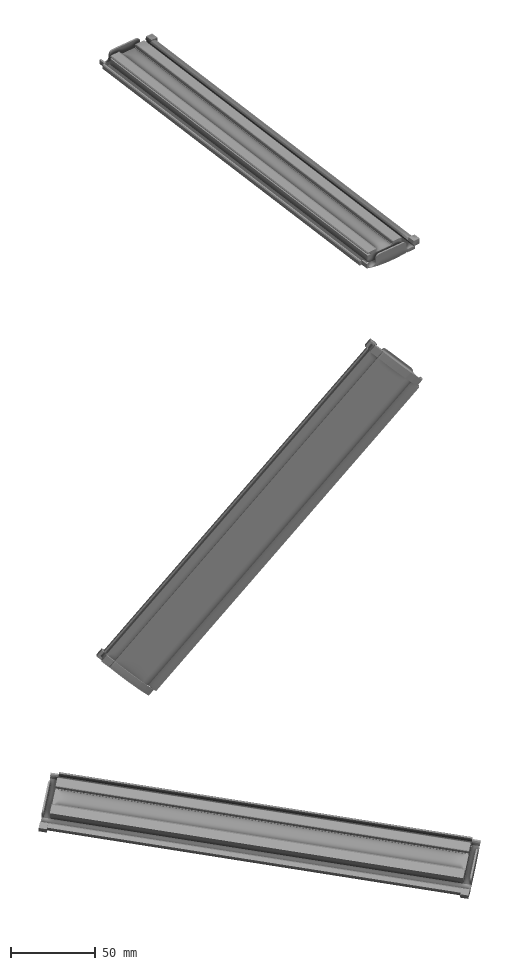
import cadquery as cq


TOTAL_LENGTH = 260.0
CAP_LENGTH = 5.0
PLATE_THICKNESS = 1.0
PROFILE_LENGTH = TOTAL_LENGTH - 2 * CAP_LENGTH

BODY_HALF_WIDTH = 12.7
BODY_TOP = 9.0
BODY_BOTTOM = 1.0
BOTTOM_CORNER_Y = -8.8
BOTTOM_CORNER_BULGE = 0.3

RIDGE_TOP = 9.4
RIDGE_OUTER_Y = 6.8
RIDGE_PEAK_Y = 6.2
CHANNEL_HALF_WIDTH = 6.0
LEDGE_Z = 7.0
STRIP_WIDTH = 5.5
STRIP_THICKNESS = 0.8
STRIP_TOP = 6.8
CHANNEL_FLOOR = STRIP_TOP - STRIP_THICKNESS

LIP_CHAMFER = 0.5
LIP_BOTTOM = 8.0
SLOT_BOTTOM = 7.0
SLOT_BACK_Y = -10.5
FOOT_HEIGHT = 1.3
FOOT_WIDTH = 0.3

SHELF_TOP = 2.9
SHELF_BOTTOM = 2.3
ARM_TIP_Y = 21.0
ARM_TOP = 6.0
ARM_BOTTOM = 5.0
ARM_LIP_WIDTH = 0.8
POST_OUTER_Y = 19.0
POST_INNER_Y = 18.2
ARM_BARB_TIP_Z = 5.2
ARM_BARB_REACH = 1.0
BARB_ROOT_Z = 3.6
CATCH_TIP_Y = -18.7
CATCH_TOP = 5.5
CATCH_WIDTH = 1.3
CATCH_SLOPE = 0.5
CATCH_BEVEL = 0.5

CAP_ARM_TIP_Y = 22.5
CAP_ARM_TOP = 6.8
CAP_ARM_BOTTOM = 5.2
CAP_LIP_INNER_Y = 21.0
CAP_POST_OUTER_Y = 19.8
CAP_SHELF_TIP_Y = 19.0
CAP_SHELF_BOTTOM = 0.5
CAP_CATCH_TIP_Y = -17.2
CAP_CATCH_INNER_Y = -16.0
CAP_BARB_TIP_Z = 4.7
CAP_BARB_REACH = 0.8

BOWL_LEFT_Y = 12.0
BOWL_RIGHT_Y = -8.3
BOWL_RISE = 0.5
NOTCH_Z = 1.0
FLANGE_BOTTOM = 1.3
FLOOR_STEP_Y = 12.2
FLOOR_LEFT_Y = 8.8
FLOOR_LEFT_Z = 1.5
FLOOR_RIGHT_Y = -15.0
FLOOR_Z = 1.3
FLOOR_RIGHT_Z = 2.0

PLATE_TOP = 8.8
PLATE_LEFT_Y = 12.7
PLATE_RIGHT_Y = -10.1
PLATE_RADIUS = 2.5
PLATE_FOOT_RADIUS = 1.5


def section_at(x):
    """Sketch plane at x whose local axes are the part's Y and Z."""
    return cq.Workplane("YZ", origin=(x, 0, 0))


def make_profile():
    """Extruded slat with a top channel, a side slot and a hook along each side."""
    catch_inner_y = CATCH_TIP_Y + CATCH_WIDTH
    arm_lip_y = ARM_TIP_Y - ARM_LIP_WIDTH
    top_and_slot = [
        (BODY_HALF_WIDTH, BODY_TOP),
        (RIDGE_OUTER_Y, BODY_TOP),
        (RIDGE_PEAK_Y, RIDGE_TOP),
        (CHANNEL_HALF_WIDTH, BODY_TOP),
        (CHANNEL_HALF_WIDTH, LEDGE_Z),
        (STRIP_WIDTH, LEDGE_Z),
        (STRIP_WIDTH, CHANNEL_FLOOR),
        (-STRIP_WIDTH, CHANNEL_FLOOR),
        (-STRIP_WIDTH, LEDGE_Z),
        (-CHANNEL_HALF_WIDTH, LEDGE_Z),
        (-CHANNEL_HALF_WIDTH, BODY_TOP),
        (-RIDGE_PEAK_Y, RIDGE_TOP),
        (-RIDGE_OUTER_Y, BODY_TOP),
        (LIP_CHAMFER - BODY_HALF_WIDTH, BODY_TOP),
        (-BODY_HALF_WIDTH, BODY_TOP - LIP_CHAMFER),
        (-BODY_HALF_WIDTH, LIP_BOTTOM),
        (SLOT_BACK_Y, LIP_BOTTOM),
        (SLOT_BACK_Y, SLOT_BOTTOM),
        (-BODY_HALF_WIDTH, SLOT_BOTTOM),
        (-BODY_HALF_WIDTH, SHELF_TOP + FOOT_HEIGHT),
        (-BODY_HALF_WIDTH - FOOT_WIDTH, SHELF_TOP),
    ]
    catch = [
        (catch_inner_y + CATCH_SLOPE, SHELF_TOP),
        (catch_inner_y, CATCH_TOP),
        (CATCH_TIP_Y + CATCH_BEVEL, CATCH_TOP),
        (CATCH_TIP_Y, CATCH_TOP - CATCH_BEVEL),
        (CATCH_TIP_Y, SHELF_BOTTOM),
        (-BODY_HALF_WIDTH, SHELF_BOTTOM),
    ]
    bottom_and_arm = [
        (BODY_HALF_WIDTH, BODY_BOTTOM),
        (BODY_HALF_WIDTH, SHELF_BOTTOM),
        (POST_OUTER_Y, SHELF_BOTTOM),
        (POST_OUTER_Y, ARM_BOTTOM),
        (arm_lip_y, ARM_BOTTOM),
        (arm_lip_y, SHELF_TOP),
        (ARM_TIP_Y, SHELF_TOP),
        (ARM_TIP_Y, ARM_TOP),
        (POST_INNER_Y, ARM_TOP),
        (POST_INNER_Y - ARM_BARB_REACH, ARM_BARB_TIP_Z),
        (POST_INNER_Y, BARB_ROOT_Z),
        (POST_INNER_Y, SHELF_TOP),
        (BODY_HALF_WIDTH, SHELF_TOP),
    ]
    corner_end = (BOTTOM_CORNER_Y, BODY_BOTTOM)
    corner_middle = (
        (BOTTOM_CORNER_Y - BODY_HALF_WIDTH) / 2 - BOTTOM_CORNER_BULGE,
        (SHELF_BOTTOM + BODY_BOTTOM) / 2 - BOTTOM_CORNER_BULGE,
    )
    outline = (
        section_at(-PROFILE_LENGTH / 2)
        .polyline(top_and_slot + catch)
        .threePointArc(corner_middle, corner_end)
        .polyline(bottom_and_arm, includeCurrent=True)
        .close()
    )
    return outline.extrude(PROFILE_LENGTH)


def make_strip(side):
    """Flat strip filling one half of the channel; side is +1 or -1 along Y."""
    return (
        section_at(-PROFILE_LENGTH / 2)
        .center(side * STRIP_WIDTH / 2, CHANNEL_FLOOR + STRIP_THICKNESS / 2)
        .rect(STRIP_WIDTH, STRIP_THICKNESS)
        .extrude(PROFILE_LENGTH)
    )


def make_cap_base(start_x):
    """Bowl-shaped floor of an end cap with a barbed hook on each side."""
    return (
        section_at(start_x)
        .moveTo(CAP_ARM_TIP_Y, CAP_ARM_TOP)
        .lineTo(POST_INNER_Y, CAP_ARM_TOP)
        .lineTo(POST_INNER_Y - CAP_BARB_REACH, CAP_BARB_TIP_Z)
        .lineTo(POST_INNER_Y, BARB_ROOT_Z)
        .lineTo(POST_INNER_Y, SHELF_TOP)
        .lineTo(BODY_HALF_WIDTH, SHELF_TOP)
        .lineTo(FLOOR_STEP_Y, FLOOR_LEFT_Z)
        .lineTo(FLOOR_LEFT_Y, FLOOR_LEFT_Z)
        .threePointArc((0, FLOOR_Z), (FLOOR_RIGHT_Y, FLOOR_RIGHT_Z))
        .lineTo(CAP_CATCH_INNER_Y, BARB_ROOT_Z)
        .lineTo(CAP_CATCH_INNER_Y + CAP_BARB_REACH, CAP_BARB_TIP_Z)
        .lineTo(CAP_CATCH_INNER_Y, CATCH_TOP)
        .lineTo(CAP_CATCH_TIP_Y, CATCH_TOP)
        .lineTo(CAP_CATCH_TIP_Y, SHELF_BOTTOM)
        .lineTo(-BODY_HALF_WIDTH, FLANGE_BOTTOM)
        .lineTo(BOWL_RIGHT_Y, BOWL_RISE)
        .threePointArc((0, 0), (BOWL_LEFT_Y, BOWL_RISE))
        .lineTo(BODY_HALF_WIDTH, NOTCH_Z)
        .lineTo(BODY_HALF_WIDTH + BOWL_RISE, CAP_SHELF_BOTTOM)
        .lineTo(CAP_SHELF_TIP_Y, CAP_SHELF_BOTTOM)
        .lineTo(CAP_SHELF_TIP_Y, SHELF_TOP)
        .lineTo(CAP_POST_OUTER_Y, CAP_ARM_BOTTOM)
        .lineTo(CAP_LIP_INNER_Y, CAP_ARM_BOTTOM)
        .lineTo(CAP_LIP_INNER_Y, SHELF_TOP)
        .lineTo(CAP_ARM_TIP_Y, SHELF_TOP)
        .close()
        .extrude(CAP_LENGTH)
    )


def make_plate(start_x):
    """Upright end plate with rounded top corners and feet that curve into the base."""
    left_shoulder = PLATE_LEFT_Y - PLATE_RADIUS
    right_shoulder = PLATE_RIGHT_Y + PLATE_RADIUS
    return (
        section_at(start_x)
        .moveTo(left_shoulder, PLATE_TOP)
        .lineTo(right_shoulder, PLATE_TOP)
        .radiusArc((PLATE_RIGHT_Y, PLATE_TOP - PLATE_RADIUS), -PLATE_RADIUS)
        .lineTo(PLATE_RIGHT_Y, FLOOR_RIGHT_Z + PLATE_RADIUS)
        .radiusArc((PLATE_RIGHT_Y - PLATE_RADIUS, FLOOR_RIGHT_Z), PLATE_RADIUS)
        .lineTo(PLATE_RIGHT_Y, FLANGE_BOTTOM)
        .lineTo(PLATE_LEFT_Y, FLANGE_BOTTOM)
        .lineTo(PLATE_LEFT_Y + PLATE_FOOT_RADIUS, SHELF_TOP)
        .radiusArc((PLATE_LEFT_Y, SHELF_TOP + PLATE_FOOT_RADIUS), PLATE_FOOT_RADIUS)
        .lineTo(PLATE_LEFT_Y, PLATE_TOP - PLATE_RADIUS)
        .radiusArc((left_shoulder, PLATE_TOP), -PLATE_RADIUS)
        .close()
        .extrude(PLATE_THICKNESS)
    )


def make_hook_cover(start_x):
    """Thin web that closes the outer end of a cap's hook."""
    width = CAP_ARM_TIP_Y - POST_INNER_Y
    height = CAP_ARM_TOP - SHELF_TOP
    return (
        section_at(start_x)
        .center(POST_INNER_Y + width / 2, SHELF_TOP + height / 2)
        .rect(width, height)
        .extrude(PLATE_THICKNESS)
    )


def make_cap(side):
    """One-piece end cap; side is -1 or +1 along X."""
    outer_x = side * TOTAL_LENGTH / 2
    base_x = min(outer_x, outer_x - side * CAP_LENGTH)
    plate_x = min(outer_x, outer_x - side * PLATE_THICKNESS)
    return make_cap_base(base_x).union(make_plate(plate_x)).union(make_hook_cover(plate_x))


profile = make_profile()
strips = [make_strip(side) for side in (1, -1)]
caps = [make_cap(side) for side in (-1, 1)]

result = cq.Compound.makeCompound([body.solids().val() for body in [profile, *strips, *caps]])